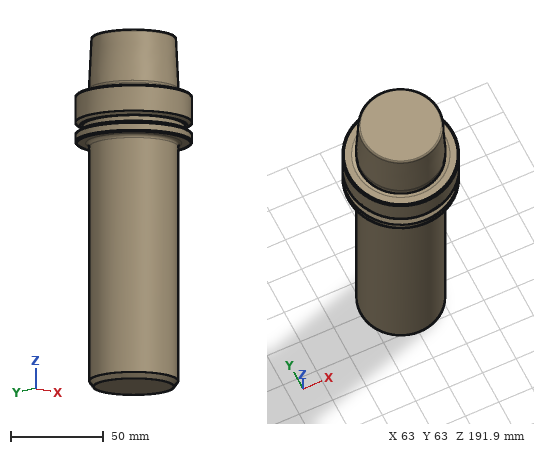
import cadquery as cq

total_length = 191.9
flange_radius = 31.5
shank_radius = 24.0

nose_height = 32.0
nose_top_radius = 22.8
nose_base_radius = 24.2
nose_edge_fillet = 1.0
taper_length = 28.4

neck_radius = 24.0
neck_lead_in = 1.2

relief_radius = 26.5
relief_depth = 0.4

flange_thickness = 26.0
flange_edge_chamfer = 0.8
groove_top_depth = 14.5
groove_bevel_height = 1.7
groove_bevel_width = 2.5
groove_floor_height = 3.3
groove_floor_radius = 27.6

shank_fillet = 2.0
shank_end_chamfer_height = 3.0
shank_end_chamfer_width = 2.3

flange_top = -nose_height
flange_bottom = flange_top - flange_thickness
groove_upper_edge = flange_top - groove_top_depth
groove_upper_wall = groove_upper_edge - groove_bevel_height
groove_lower_wall = groove_upper_wall - groove_floor_height
groove_lower_edge = groove_lower_wall - groove_bevel_height
groove_wall_radius = flange_radius - groove_bevel_width
shank_bottom = -total_length

profile = cq.Workplane("XZ").moveTo(0, 0)

profile = (
    profile.lineTo(nose_top_radius - nose_edge_fillet, 0)
    .radiusArc((nose_top_radius, -nose_edge_fillet), nose_edge_fillet)
    .lineTo(nose_base_radius, -taper_length)
    .lineTo(neck_radius, -taper_length - neck_lead_in)
    .lineTo(neck_radius, flange_top - relief_depth)
    .lineTo(relief_radius, flange_top)
)

profile = (
    profile.lineTo(flange_radius - flange_edge_chamfer, flange_top)
    .lineTo(flange_radius, flange_top - flange_edge_chamfer)
    .lineTo(flange_radius, groove_upper_edge)
    .lineTo(groove_wall_radius, groove_upper_wall)
    .lineTo(groove_floor_radius, groove_upper_wall)
    .lineTo(groove_floor_radius, groove_lower_wall)
    .lineTo(groove_wall_radius, groove_lower_wall)
    .lineTo(flange_radius, groove_lower_edge)
    .lineTo(flange_radius, flange_bottom + flange_edge_chamfer)
    .lineTo(flange_radius - flange_edge_chamfer, flange_bottom)
)

profile = (
    profile.lineTo(shank_radius + shank_fillet, flange_bottom)
    .radiusArc((shank_radius, flange_bottom - shank_fillet), -shank_fillet)
    .lineTo(shank_radius, shank_bottom + shank_end_chamfer_height)
    .lineTo(shank_radius - shank_end_chamfer_width, shank_bottom)
    .lineTo(0, shank_bottom)
    .close()
)

result = profile.revolve(360, (0, 0, 0), (0, 1, 0))